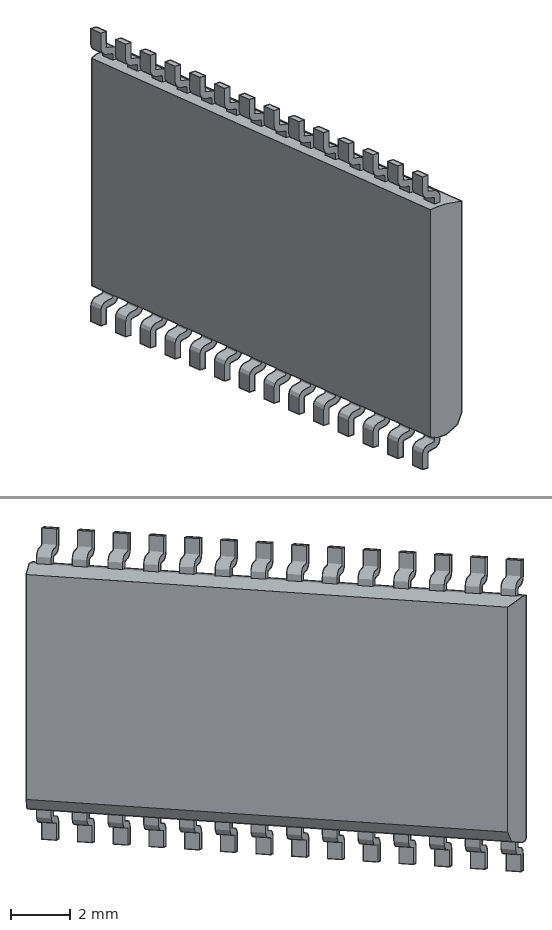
import cadquery as cq
import math

body_length = 17.53
overall_depth = 1.7
overall_height = 10.64

body_height = 8.4
standoff = 0.2
band_front = 0.47
band_back = 0.82
mold_draft = 13.0

bevel_depth = 0.33
bevel_height = 0.5

leads_per_row = 14
lead_row_span = 16.51
lead_width = 0.53
lead_thickness = 0.25
shoulder_length = 0.2
bend_angle = math.radians(80)
inner_bend_radius = 0.05
lead_embed = 0.18

seat_y = -overall_depth / 2
back_y = overall_depth / 2
body_front_y = seat_y + standoff
band_front_y = seat_y + band_front
band_back_y = seat_y + band_back


def body_section(start_y, depth, taper):
    """Body-sized block extruded along Y from start_y; a negative depth grows toward -Y."""
    plane = cq.Plane(origin=(0, start_y, 0), xDir=(1, 0, 0), normal=(0, math.copysign(1, depth), 0))
    return cq.Workplane(plane).rect(body_length, body_height).extrude(abs(depth), taper=taper)


def make_body():
    band = body_section(band_front_y, band_back_y - band_front_y, 0)
    front = body_section(band_front_y, body_front_y - band_front_y, mold_draft)
    back = body_section(band_back_y, back_y - band_back_y, mold_draft)
    return band.union(front).union(back)


def make_bevel_cutter():
    """Triangular prism that trims the lower back edge over the full length."""
    body_bottom = -body_height / 2
    return (
        cq.Workplane("YZ")
        .moveTo(back_y, body_bottom)
        .lineTo(back_y, body_bottom + bevel_height)
        .lineTo(back_y - bevel_depth, body_bottom)
        .close()
        .extrude(body_length / 2, both=True)
    )


def make_lead():
    """Upper lead at X = 0: a flat strip swept out of the body, toward -Y, then up to its foot."""
    radius = inner_bend_radius + lead_thickness / 2
    shoulder_y = (band_front_y + band_back_y) / 2
    foot_y = seat_y + lead_thickness / 2

    bend_y = radius * (1 - math.cos(bend_angle))
    bend_z = radius * math.sin(bend_angle)
    half_bend_y = radius * (1 - math.cos(bend_angle / 2))
    half_bend_z = radius * math.sin(bend_angle / 2)
    slope_y = shoulder_y - foot_y - 2 * bend_y
    slope_z = slope_y / math.tan(bend_angle)

    root_z = body_height / 2 - lead_embed
    first_bend_z = body_height / 2 + shoulder_length
    second_bend_z = first_bend_z + 2 * bend_z + slope_z
    path = (
        cq.Workplane("YZ")
        .moveTo(shoulder_y, root_z)
        .lineTo(shoulder_y, first_bend_z)
        .threePointArc(
            (shoulder_y - half_bend_y, first_bend_z + half_bend_z),
            (shoulder_y - bend_y, first_bend_z + bend_z),
        )
        .lineTo(foot_y + bend_y, second_bend_z - bend_z)
        .threePointArc(
            (foot_y + half_bend_y, second_bend_z - half_bend_z),
            (foot_y, second_bend_z),
        )
        .lineTo(foot_y, overall_height / 2)
    )
    strip = cq.Workplane("XY", origin=(0, shoulder_y, root_z)).rect(lead_width, lead_thickness)
    return strip.sweep(path)


upper_lead = make_lead()
lower_lead = upper_lead.mirror("XY")
lead_pitch = lead_row_span / (leads_per_row - 1)

result = make_body().cut(make_bevel_cutter())
for index in range(leads_per_row):
    lead_x = index * lead_pitch - lead_row_span / 2
    for lead in (upper_lead, lower_lead):
        result = result.union(lead.translate((lead_x, 0, 0)))